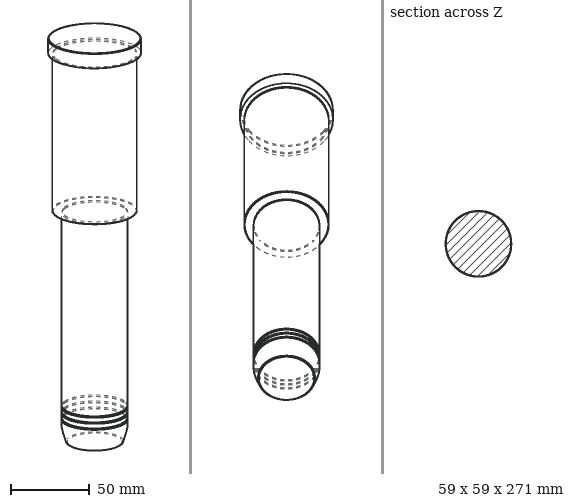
import cadquery as cq

total_length = 271.0
head_height = 10.0
body_bottom_z = 155.0

head_diameter = 59.0
body_diameter = 54.0
pin_diameter = 42.0
tip_diameter = 36.0

head_chamfer = 0.5
body_chamfer = 0.5
nose_height = 10.3
nose_arc_radius = 67.8
tip_chamfer = 0.5

relief_width = 1.0
relief_depth = 0.3

groove_count = 3
groove_width = 1.0
groove_depth = 0.3
groove_pitch = 4.0
lowest_groove_z = 15.2


def cylinder(diameter, bottom_z, top_z):
    """Solid cylinder on the Z axis between two heights."""
    return cq.Workplane("XY").workplane(offset=bottom_z).circle(diameter / 2).extrude(top_z - bottom_z)


def cut_ring(part, diameter, depth, bottom_z, width):
    """Cut a rectangular groove around a cylinder of the given diameter."""
    ring = cylinder(diameter, bottom_z, bottom_z + width)
    core = cylinder(diameter - 2 * depth, bottom_z, bottom_z + width)
    return part.cut(ring.cut(core))


def make_nose():
    """Tapered tip whose side bulges slightly and meets the pin at a visible edge."""
    pin_radius = pin_diameter / 2
    tip_radius = tip_diameter / 2
    return (
        cq.Workplane("XZ")
        .lineTo(tip_radius, 0)
        .radiusArc((pin_radius, nose_height), -nose_arc_radius)
        .lineTo(0, nose_height)
        .close()
        .revolve(360, (0, 0, 0), (0, 1, 0))
        .faces("<Z")
        .chamfer(tip_chamfer)
    )


head_bottom_z = total_length - head_height

head = cylinder(head_diameter, head_bottom_z, total_length).faces(">Z").chamfer(head_chamfer)

body = cylinder(body_diameter, body_bottom_z, head_bottom_z).faces("<Z").chamfer(body_chamfer)
body = cut_ring(body, body_diameter, relief_depth, head_bottom_z - relief_width, relief_width)

pin = cylinder(pin_diameter, nose_height, body_bottom_z)
pin = cut_ring(pin, pin_diameter, relief_depth, body_bottom_z - relief_width, relief_width)
for index in range(groove_count):
    groove_z = lowest_groove_z + index * groove_pitch
    pin = cut_ring(pin, pin_diameter, groove_depth, groove_z, groove_width)

result = make_nose().union(pin).union(body).union(head)